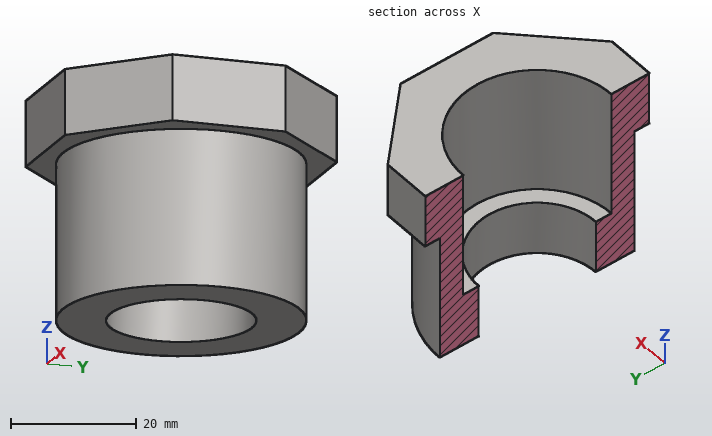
import cadquery as cq
import math

head_width = 46.0
head_height = 11.0
head_corner_diameter = head_width / math.cos(math.pi / 8)

total_height = 37.0
spigot_diameter = 40.0
spigot_height = total_height - head_height

socket_diameter = 30.35
socket_depth = 26.0
bore_diameter = 24.0


def make_body():
    """Spigot standing on the XY plane with the octagonal head on top."""
    spigot = cq.Workplane("XY").circle(spigot_diameter / 2).extrude(spigot_height)
    head = (
        cq.Workplane("XY")
        .workplane(offset=spigot_height)
        .transformed(rotate=(0, 0, 180 / 8))
        .polygon(8, head_corner_diameter)
        .extrude(head_height)
    )
    return spigot.union(head)


def cut_passage(body):
    """Through bore with a wider socket entering from the head."""
    top = body.faces(">Z").workplane(origin=(0, 0, total_height))
    socketed = top.circle(socket_diameter / 2).cutBlind(-socket_depth)
    return (
        socketed.faces(">Z")
        .workplane(origin=(0, 0, total_height))
        .circle(bore_diameter / 2)
        .cutThruAll()
    )


result = cut_passage(make_body())